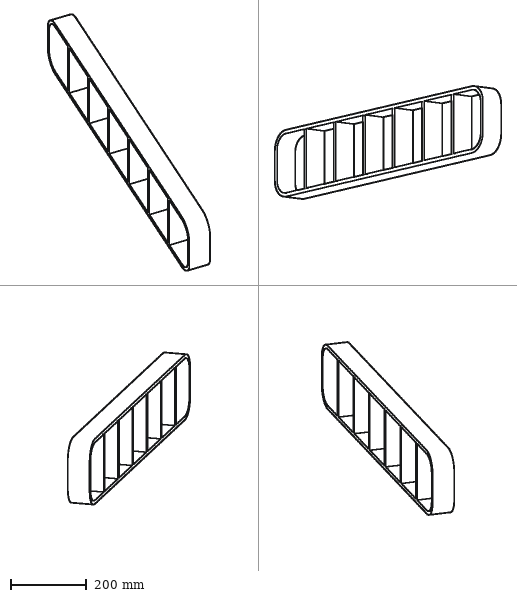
import cadquery as cq

length = 923.5
depth = 60.0
height = 179.0

wall = 10.0
outer_radius = 50.0
inner_radius = outer_radius - wall

divider_count = 6
inner_length = length - 2 * wall
inner_height = height - 2 * wall
bay_width = (inner_length - divider_count * wall) / (divider_count + 1)
divider_pitch = bay_width + wall


def rounded_block(block_length, block_height, radius):
    """Block centred on the origin with its four Y-direction edges rounded."""
    return cq.Workplane("XY").box(block_length, depth, block_height).edges("|Y").fillet(radius)


def make_frame():
    """Rounded rectangular ring, open through the depth."""
    outside = rounded_block(length, height, outer_radius)
    opening = rounded_block(inner_length, inner_height, inner_radius)
    return outside.cut(opening)


def make_divider(index):
    """Upright plate reaching to mid-wall so that it fuses with the frame."""
    x = (index - (divider_count - 1) / 2) * divider_pitch
    return cq.Workplane("XY").box(wall, depth, inner_height + wall).translate((x, 0, 0))


result = make_frame()
for divider_index in range(divider_count):
    result = result.union(make_divider(divider_index))